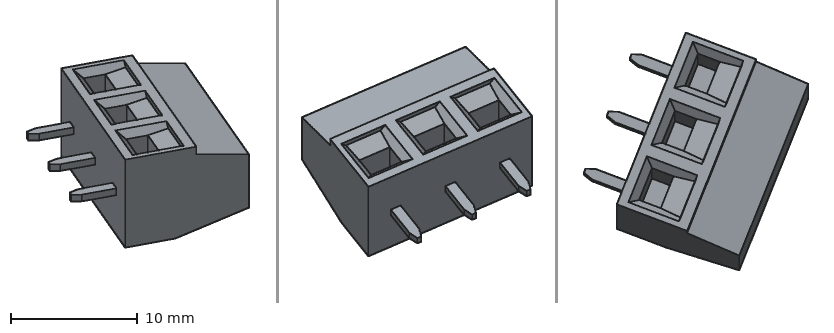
import cadquery as cq

HOUSING_LENGTH = 15
HOUSING_HEIGHT = 8.1
OVERALL_DEPTH = 14.1
PIN_LENGTH = 3.7
HOUSING_DEPTH = OVERALL_DEPTH - PIN_LENGTH
TOP_DEPTH = 5.97
STEP_DROP = 0.72
BACK_TOP_DROP = 1.6
BACK_BOTTOM_RISE = 1.6
UNDERSIDE_DEPTH = 4.2

POLE_COUNT = 3
PITCH = HOUSING_LENGTH / POLE_COUNT

MOUTH_WIDTH = 4.02
MOUTH_DEPTH = 4.28
MOUTH_FRONT = 0.8
WELL_WIDTH = 2.79
FRONT_INSET = 0.68
BACK_INSET = 1.77
TAPER_HEIGHT = 0.6
BACK_WALL_HEIGHT = 0.42
POCKET_HEIGHT = HOUSING_HEIGHT / 2

PIN_WIDTH = 0.9
PIN_THICKNESS = 0.63
PIN_TIP_WIDTH = 0.36
PIN_TIP_LENGTH = 0.8
PIN_HEIGHT = 4.0


def make_housing():
    side_profile = [
        (0, 0),
        (UNDERSIDE_DEPTH, 0),
        (HOUSING_DEPTH, BACK_BOTTOM_RISE),
        (HOUSING_DEPTH, HOUSING_HEIGHT - BACK_TOP_DROP),
        (TOP_DEPTH, HOUSING_HEIGHT - STEP_DROP),
        (TOP_DEPTH, HOUSING_HEIGHT),
        (0, HOUSING_HEIGHT),
    ]
    return cq.Workplane("YZ").polyline(side_profile).close().extrude(HOUSING_LENGTH / 2, both=True)


def make_pocket(x):
    mouth_back = MOUTH_FRONT + MOUTH_DEPTH
    well_front = MOUTH_FRONT + FRONT_INSET
    well_back = mouth_back - BACK_INSET
    taper_bottom = HOUSING_HEIGHT - TAPER_HEIGHT
    floor = HOUSING_HEIGHT - POCKET_HEIGHT

    side_profile = [
        (MOUTH_FRONT, HOUSING_HEIGHT),
        (well_front, taper_bottom),
        (well_front, floor),
        (well_back, floor),
        (well_back, taper_bottom),
        (mouth_back, HOUSING_HEIGHT - BACK_WALL_HEIGHT),
        (mouth_back, HOUSING_HEIGHT),
    ]
    side_shape = (
        cq.Workplane("YZ", origin=(x, 0, 0))
        .polyline(side_profile).close().extrude(MOUTH_WIDTH / 2, both=True)
    )

    front_profile = [
        (-MOUTH_WIDTH / 2, HOUSING_HEIGHT),
        (-WELL_WIDTH / 2, taper_bottom),
        (-WELL_WIDTH / 2, floor),
        (WELL_WIDTH / 2, floor),
        (WELL_WIDTH / 2, taper_bottom),
        (MOUTH_WIDTH / 2, HOUSING_HEIGHT),
    ]
    front_shape = (
        cq.Workplane("XZ", origin=(x, 0, 0))
        .polyline(front_profile).close().extrude(-mouth_back)
    )
    return side_shape.intersect(front_shape)


def make_pin(x):
    shoulder = -(PIN_LENGTH - PIN_TIP_LENGTH)
    outline = [
        (-PIN_WIDTH / 2, 0),
        (-PIN_WIDTH / 2, shoulder),
        (-PIN_TIP_WIDTH / 2, -PIN_LENGTH),
        (PIN_TIP_WIDTH / 2, -PIN_LENGTH),
        (PIN_WIDTH / 2, shoulder),
        (PIN_WIDTH / 2, 0),
    ]
    return (
        cq.Workplane("XY", origin=(x, 0, PIN_HEIGHT))
        .polyline(outline).close().extrude(PIN_THICKNESS / 2, both=True)
    )


result = make_housing()
for pole in range(POLE_COUNT):
    pole_x = (pole - (POLE_COUNT - 1) / 2) * PITCH
    result = result.cut(make_pocket(pole_x)).union(make_pin(pole_x))